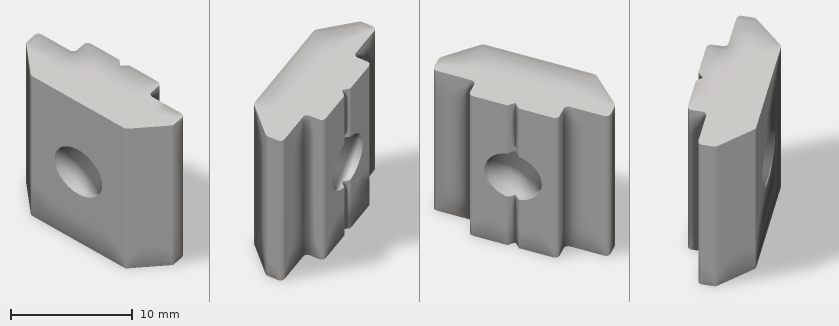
import cadquery as cq

length = 16.0
width = 15.5
depth = 6.0
rib_width = 7.87
rib_height = 1.7
bevel = 2.77
edge_radius = 0.4
notch_depth = 0.51
hole_diameter = 5.04

half_width = width / 2
half_rib = rib_width / 2
base_y = -depth / 2
rib_y = depth / 2
flange_y = rib_y - rib_height


def make_body():
    """Extrude the T-nut section along Z and round its long edges."""
    right_side = [
        (half_width - bevel, base_y),
        (half_width, base_y + bevel),
        (half_width, flange_y),
        (half_rib, flange_y),
        (half_rib, rib_y),
    ]
    left_side = [(-x, y) for x, y in reversed(right_side)]
    section = cq.Workplane("XY").polyline(right_side + left_side).close()
    body = section.extrude(length / 2, both=True)
    return body.edges("|Z").fillet(edge_radius)


def make_notch():
    """V groove running the full length of the rib."""
    outline = [(-notch_depth, rib_y), (0, rib_y - notch_depth), (notch_depth, rib_y)]
    return cq.Workplane("XY").polyline(outline).close().extrude(length / 2, both=True)


def make_hole():
    """Through hole along Y at the centre of the part."""
    return cq.Workplane("XZ").circle(hole_diameter / 2).extrude(depth, both=True)


result = make_body().cut(make_notch()).cut(make_hole())